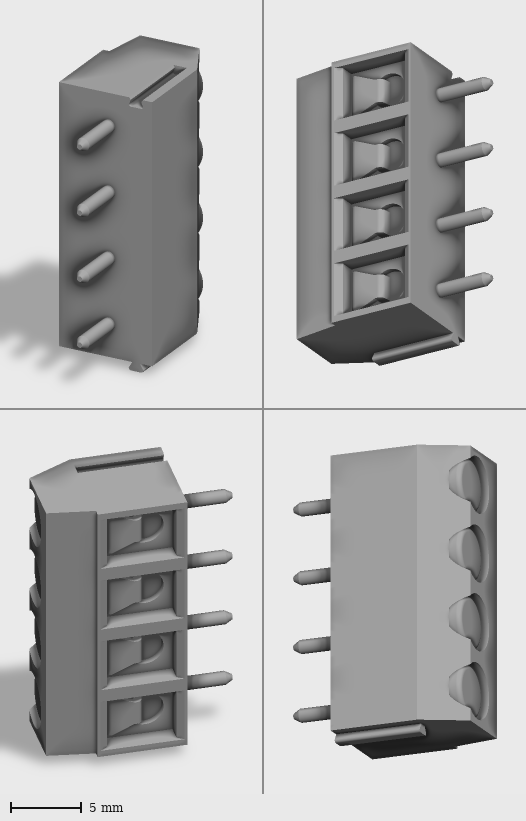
import cadquery as cq
import math


overall_height = 21

pole_count = 4
pole_pitch = 5.08
housing_height = pole_count * pole_pitch
housing_width = 7.5
housing_depth = 10.02
wire_side_depth = 6.53
wire_side_step = 0.5
top_face_start = 1.07
top_face_end = 5.84
slope_start_depth = 6.64

pin_x = 4.0
pin_radius = 0.5
pin_tip_radius = 0.2
pin_tip_length = 0.52
pin_length = 4.28

mouth_low, mouth_high = 0.19, 6.32
throat_low, throat_high = 0.7, 5.78
opening_height = 4.1
mouth_taper_depth = 0.35
opening_depth = 1.51

wire_hole_y = 2.67
wire_hole_radius = 1.32
wire_hole_depth = 0.5

guard_thickness = 0.45
guard_flat_low, guard_flat_high = 3.4, 5.2
guard_taper_low = 3.57
guard_wide_half = 1.6
guard_narrow_half = 0.9
guard_bend = math.radians(80)

screw_x = 4.54
screw_radius = 2.0
screw_top = 9.55
screw_edge_round = 0.35
screw_well_radius = 2.08
screw_well_floor = 8.65

dovetail_x = 6.2
tongue_height = overall_height - housing_height
tongue_neck_half = 0.34
tongue_foot_half = 0.59
tongue_neck_height = 0.06
tongue_round = 0.19
groove_depth = 0.7
groove_mouth_half = 0.55
groove_neck_half = 0.42
groove_base_half = 0.63
groove_neck_depth = 0.17
groove_round = 0.13

arc_middle = math.radians(45)
pole_heights = [(i + 0.5) * pole_pitch for i in range(pole_count)]


def at_every_pole(shape):
    """Copies of a shape, made around Z = 0, at each pole."""
    copies = cq.Workplane("XY")
    for z in pole_heights:
        copies = copies.add(shape.translate((0, 0, z)))
    return copies.combine()


def make_housing():
    outline = [
        (0, 0),
        (housing_width, 0),
        (housing_width, slope_start_depth),
        (top_face_end, housing_depth),
        (top_face_start, housing_depth),
        (wire_side_step, wire_side_depth),
        (0, wire_side_depth),
    ]
    return cq.Workplane("XY").polyline(outline).close().extrude(housing_height)


def make_pin():
    """Round pin with a conical tip, rooted in the front face."""
    profile = [
        (pin_x, 0),
        (pin_x + pin_radius, 0),
        (pin_x + pin_radius, pin_tip_length - pin_length),
        (pin_x + pin_tip_radius, -pin_length),
        (pin_x, -pin_length),
    ]
    axis_start, axis_end = (pin_x, 0), (pin_x, 1)
    return cq.Workplane("XY").polyline(profile).close().revolve(360, axis_start, axis_end)


def make_wire_opening():
    """Rectangular pocket with tapered mouth ends and a shallow round hole in its floor."""
    section = [
        (0, mouth_low),
        (mouth_taper_depth, throat_low),
        (opening_depth, throat_low),
        (opening_depth, throat_high),
        (mouth_taper_depth, throat_high),
        (0, mouth_high),
    ]
    pocket = cq.Workplane("XY").polyline(section).close().extrude(opening_height / 2, both=True)
    hole = (
        cq.Workplane("YZ", origin=(opening_depth, 0, 0))
        .center(wire_hole_y, 0)
        .circle(wire_hole_radius)
        .extrude(wire_hole_depth)
    )
    return pocket.union(hole)


def make_wire_guard():
    """Plate rounded at both ends, narrowing towards the wire hole and bent down into it."""
    face_x = opening_depth - guard_thickness
    hole_floor_x = opening_depth + wire_hole_depth

    def bend_point(angle):
        """Point on the bend at the hole, turned by the given angle from the flat."""
        return (
            face_x + guard_thickness * (1 - math.cos(angle)),
            guard_flat_low - guard_thickness * math.sin(angle),
        )

    bend_end_x, bend_end_y = bend_point(guard_bend)
    leg_end_y = bend_end_y - (hole_floor_x - bend_end_x) / math.tan(guard_bend)
    high_round_middle = (
        face_x + guard_thickness * (1 - math.cos(arc_middle)),
        guard_flat_high + guard_thickness * math.sin(arc_middle),
    )
    section = (
        cq.Workplane("XY")
        .moveTo(face_x, guard_flat_high)
        .lineTo(face_x, guard_flat_low)
        .threePointArc(bend_point(guard_bend / 2), (bend_end_x, bend_end_y))
        .lineTo(hole_floor_x, leg_end_y)
        .lineTo(hole_floor_x, guard_flat_high + guard_thickness)
        .lineTo(opening_depth, guard_flat_high + guard_thickness)
        .threePointArc(high_round_middle, (face_x, guard_flat_high))
        .close()
        .extrude(guard_wide_half, both=True)
    )
    outline = [
        (throat_low, guard_narrow_half),
        (guard_taper_low, guard_narrow_half),
        (guard_flat_high, guard_wide_half),
        (throat_high, guard_wide_half),
        (throat_high, -guard_wide_half),
        (guard_flat_high, -guard_wide_half),
        (guard_taper_low, -guard_narrow_half),
        (throat_low, -guard_narrow_half),
    ]
    plan = cq.Workplane("YZ").polyline(outline).close().extrude(hole_floor_x)
    return section.intersect(plan)


def make_y_cylinder(radius, start, end):
    """Cylinder on the screw axis between two Y positions."""
    plane = cq.Workplane("XZ", origin=(screw_x, start, 0))
    return plane.circle(radius).extrude(start - end)


def make_screw():
    head = make_y_cylinder(screw_radius, screw_well_floor, screw_top)
    return head.faces(">Y").edges().fillet(screw_edge_round)


def make_tongue():
    """Dovetail rib below the housing."""
    flare_height = tongue_height - tongue_round
    right_half = [
        (tongue_neck_half, 0),
        (tongue_neck_half, -tongue_neck_height),
        (tongue_foot_half, -flare_height),
    ]
    foot_flat_half = tongue_foot_half - tongue_round
    diagonal = tongue_round * math.sin(arc_middle)
    return (
        cq.Workplane("XZ", origin=(dovetail_x, 0, 0))
        .polyline(right_half)
        .threePointArc(
            (foot_flat_half + diagonal, -flare_height - diagonal), (foot_flat_half, -tongue_height)
        )
        .lineTo(-foot_flat_half, -tongue_height)
        .threePointArc(
            (-foot_flat_half - diagonal, -flare_height - diagonal), (-tongue_foot_half, -flare_height)
        )
        .lineTo(-tongue_neck_half, -tongue_neck_height)
        .lineTo(-tongue_neck_half, 0)
        .close()
        .extrude(-wire_side_depth)
    )


def make_groove():
    """Matching dovetail groove in the upper end, with a flared mouth."""
    section = [
        (-groove_mouth_half, 0),
        (-groove_neck_half, -groove_neck_depth),
        (-groove_base_half, -groove_depth),
        (groove_base_half, -groove_depth),
        (groove_neck_half, -groove_neck_depth),
        (groove_mouth_half, 0),
    ]
    groove = (
        cq.Workplane("XZ", origin=(dovetail_x, 0, housing_height))
        .polyline(section)
        .close()
        .extrude(-wire_side_depth)
    )
    return groove.faces("<Z").edges("|Y").fillet(groove_round)


screw_well = make_y_cylinder(screw_well_radius, screw_well_floor, housing_depth)

result = (
    make_housing()
    .cut(make_groove())
    .cut(at_every_pole(make_wire_opening()))
    .cut(at_every_pole(screw_well))
    .union(make_tongue())
    .union(at_every_pole(make_wire_guard()))
    .union(at_every_pole(make_screw()))
    .union(at_every_pole(make_pin()))
)